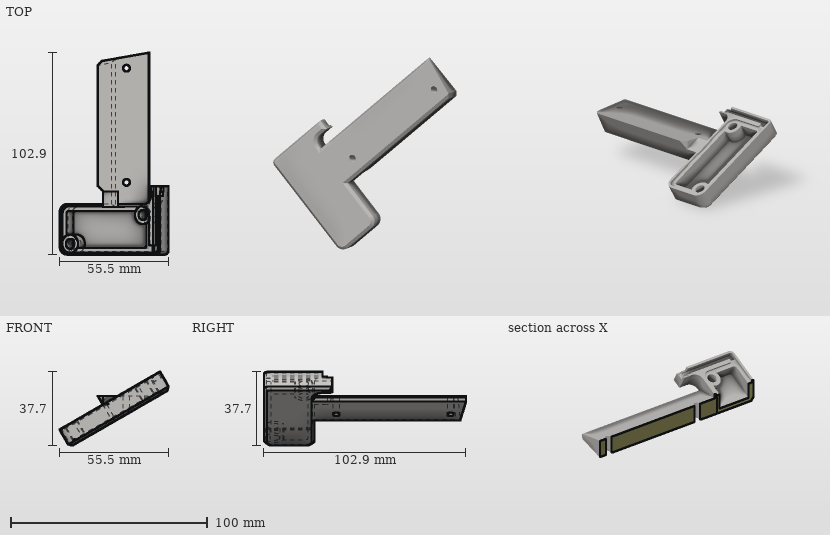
import cadquery as cq
import math

TILT = 30.0
THICKNESS = 10.3
BOTTOM_CHAMFER = 1.5

HOUSING_LENGTH = 59.0
HOUSING_WIDTH = 25.8
FLANGE_WIDTH = 34.8
FLANGE_LEFT = 53.6
LEFT_RADIUS = 4.5
RIGHT_RADIUS = 2.5
FLANGE_FILLET = 4.3

RIM = 1.2
RECESS_DEPTH = 1.0
RECESS_RIGHT = 52.6
RECESS_RIGHT_RADIUS = 4.5
POCKET_WALL = 3.5
POCKET_RIGHT = 50.4
POCKET_DEPTH = 7.0
POCKET_RADIUS = 1.3
CHANNEL_LEFT = 54.8
CHANNEL_DEPTH = 3.0
CHANNEL_RADIUS = 1.2
BAR_START = 4.6
BAR_END_RADIUS = 0.5
INLET_LEFT = 53.9
FLANGE_STEPS = [(32.1, 26.6), (29.8, 27.0)]

BOSS_DIAMETER = 9.4
BOSS_HOLE = 5.0
BOSS_INSET = 5.5
BOSS_CENTERS = [
    (BOSS_INSET, BOSS_INSET),
    (RECESS_RIGHT + RIM - BOSS_INSET, HOUSING_WIDTH - BOSS_INSET),
]

HANDLE_LEFT = 25.4
HANDLE_RIGHT = 47.8
HANDLE_TOP = 17.2
HANDLE_TANG = 1.5
HANDLE_START = HOUSING_WIDTH - HANDLE_TANG
HANDLE_END = 102.8
END_ANGLE = 10.0
END_CHAMFER = 1.9
NOTCH_END = 32.3
NOTCH_CHAMFER = 2.8
HANDLE_HOLE = 3.3
HANDLE_HOLE_X = 34.0
HANDLE_HOLE_YS = [36.8, 94.9]

MARGIN = 10.3
SIN_TILT = math.sin(math.radians(TILT))
COS_TILT = math.cos(math.radians(TILT))


def tilt(body):
    return body.rotate((0, 0, 0), (0, 1, 0), -TILT)


def block(x, y, z):
    """Box spanning the given (low, high) ranges."""
    size = (x[1] - x[0], y[1] - y[0], z[1] - z[0])
    return cq.Workplane().box(*size, centered=False).translate((x[0], y[0], z[0]))


def housing_shell():
    body = block((0, HOUSING_LENGTH), (0, HOUSING_WIDTH), (-THICKNESS, 0))
    body = body.edges("|Z and <X").fillet(LEFT_RADIUS)
    flange = block((FLANGE_LEFT, HOUSING_LENGTH), (0, FLANGE_WIDTH), (-THICKNESS, 0))
    body = body.union(flange)
    inner_corner = cq.selectors.NearestToPointSelector((FLANGE_LEFT, HOUSING_WIDTH, -THICKNESS / 2))
    body = body.edges(inner_corner).fillet(FLANGE_FILLET)
    body = body.edges("|Z and >X and <Y").fillet(RIGHT_RADIUS)
    return body.faces("<Z").chamfer(BOTTOM_CHAMFER)


def lid_recess():
    recess = block((RIM, RECESS_RIGHT), (RIM, HOUSING_WIDTH - RIM), (-RECESS_DEPTH, 0))
    recess = recess.edges("|Z and <X").fillet(LEFT_RADIUS - RIM)
    recess = recess.edges("|Z and >X and >Y").fillet(RECESS_RIGHT_RADIUS)
    inlet = block((RECESS_RIGHT - RIM, CHANNEL_LEFT + RIM), (RIM, BAR_START), (-RECESS_DEPTH, 0))
    return recess.union(inlet)


def pocket():
    x_range = (POCKET_WALL, POCKET_RIGHT)
    y_range = (POCKET_WALL, HOUSING_WIDTH - POCKET_WALL)
    cutter = block(x_range, y_range, (-RECESS_DEPTH - POCKET_DEPTH, 0))
    return cutter.edges("|Z").fillet(POCKET_RADIUS)


def wire_channel():
    x_range = (CHANNEL_LEFT, HOUSING_LENGTH - RIM)
    channel = block(x_range, (RIM, FLANGE_WIDTH + MARGIN), (-CHANNEL_DEPTH, 0))
    channel = channel.edges("|Z and >X and <Y").fillet(CHANNEL_RADIUS)
    inlet = block((INLET_LEFT, CHANNEL_LEFT + RIM), (RIM, BAR_START), (-CHANNEL_DEPTH, 0))
    return channel.union(inlet)


def round_bar_end(body):
    """Round the corners of the bar between the recess and the channel."""
    for x, depth in ((RECESS_RIGHT, RECESS_DEPTH), (CHANNEL_LEFT, CHANNEL_DEPTH)):
        corner = cq.selectors.NearestToPointSelector((x, BAR_START, -depth / 2))
        body = body.edges(corner).fillet(BAR_END_RADIUS)
    return body


def boss_cylinder(center, diameter):
    cylinder = cq.Workplane().circle(diameter / 2).extrude(-POCKET_DEPTH)
    return cylinder.translate((center[0], center[1], -RECESS_DEPTH))


def make_boss(center):
    ring = boss_cylinder(center, BOSS_DIAMETER).cut(boss_cylinder(center, BOSS_HOLE))
    return tilt(ring)


def make_handle():
    reach = HANDLE_END + MARGIN
    bar = block((HANDLE_LEFT, HANDLE_RIGHT), (HANDLE_START, reach), (-THICKNESS, MARGIN * 2))
    bar = bar.edges("|Y and <Z").chamfer(BOTTOM_CHAMFER)
    bar = tilt(bar)

    left_x = HANDLE_LEFT * COS_TILT - (HANDLE_TOP - HANDLE_LEFT * SIN_TILT) * SIN_TILT / COS_TILT
    right_x = (HANDLE_RIGHT - HANDLE_TOP * SIN_TILT) / COS_TILT
    low_x = left_x - MARGIN
    high_x = right_x + MARGIN
    slope = math.tan(math.radians(END_ANGLE))
    envelope = (
        cq.Workplane()
        .polyline([
            (low_x, HANDLE_START),
            (high_x, HANDLE_START),
            (high_x, HANDLE_END + slope * (high_x - right_x)),
            (low_x, HANDLE_END - slope * (right_x - low_x)),
        ])
        .close()
        .extrude(-HANDLE_TOP * 2)
        .translate((0, 0, HANDLE_TOP))
    )
    body = bar.intersect(envelope)
    far_left = HANDLE_END - slope * (right_x - left_x)
    end_edge = cq.selectors.NearestToPointSelector(
        ((left_x + HANDLE_LEFT * COS_TILT) / 2, far_left, (HANDLE_TOP + HANDLE_LEFT * SIN_TILT) / 2)
    )
    body = body.edges(end_edge).chamfer(END_CHAMFER)

    above_housing = tilt(block((0, HOUSING_LENGTH), (0, HANDLE_END), (0, HOUSING_LENGTH)))
    notch = (
        cq.Workplane()
        .polyline([
            (low_x, 0),
            (high_x, 0),
            (high_x, NOTCH_END),
            (left_x + NOTCH_CHAMFER, NOTCH_END),
            (low_x, NOTCH_END + NOTCH_CHAMFER + MARGIN),
        ])
        .close()
        .extrude(HOUSING_LENGTH)
    )
    body = body.cut(notch.intersect(above_housing))

    for y in HANDLE_HOLE_YS:
        hole = cq.Workplane().circle(HANDLE_HOLE / 2).extrude(HOUSING_LENGTH)
        body = body.cut(hole.translate((HANDLE_HOLE_X, y, -MARGIN)))

    for center in BOSS_CENTERS:
        body = body.cut(tilt(boss_cylinder(center, BOSS_DIAMETER)))
    return body


def make_housing(handle):
    body = housing_shell().cut(lid_recess()).cut(wire_channel())
    body = round_bar_end(body).cut(pocket())
    for center in BOSS_CENTERS:
        body = body.cut(boss_cylinder(center, BOSS_DIAMETER))
    body = tilt(body)
    for start_y, step_z in FLANGE_STEPS:
        step = block((0, HOUSING_LENGTH), (start_y, FLANGE_WIDTH), (step_z, HOUSING_LENGTH))
        body = body.cut(step)
    return body.cut(handle)


handle = make_handle()
housing = make_housing(handle)
bosses = [make_boss(center) for center in BOSS_CENTERS]

result = cq.Compound.makeCompound([housing.val(), handle.val(), *[boss.val() for boss in bosses]])